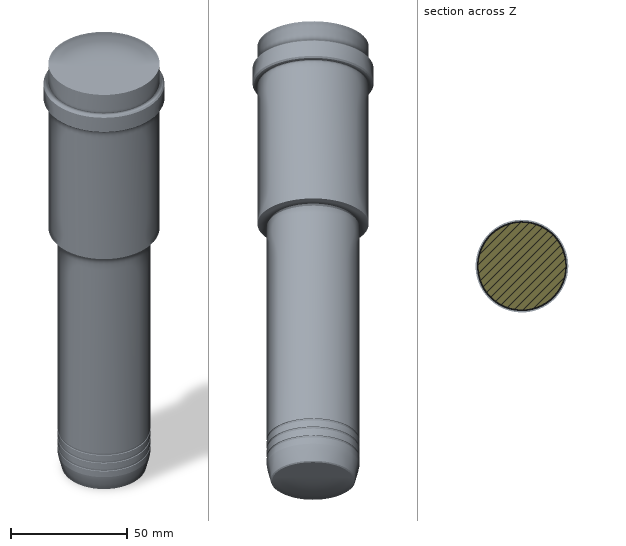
import cadquery as cq

total_height = 210.0
head_bottom = 124.3

head_radius = 24.0
collar_radius = 26.0
pin_radius = 20.0
tip_radius = 18.0

collar_top = 200.1
collar_bottom = 191.5
collar_chamfer = 0.6
collar_groove_width = 0.6
collar_groove_depth = 0.5

relief_width = 1.5
relief_depth = 0.8

ring_groove_centres = (11.3, 15.5, 19.5)
ring_groove_width = 1.0
ring_groove_depth = 0.5
tip_height = 7.8
tip_bulge = 0.15
tip_chamfer = 0.5


def cylinder(radius, bottom, top):
    return cq.Workplane("XY").workplane(offset=bottom).circle(radius).extrude(top - bottom)


def ring_cut(radius, depth, bottom, top):
    """Ring that cuts a groove of the given depth into a shaft."""
    return cylinder(radius + depth, bottom, top).cut(cylinder(radius - depth, bottom, top))


def make_pin():
    """Pin with a slightly convex taper at its tip."""
    middle_radius = (pin_radius + tip_radius) / 2 + tip_bulge
    profile = (
        cq.Workplane("XZ")
        .lineTo(tip_radius, 0)
        .threePointArc((middle_radius, tip_height / 2), (pin_radius, tip_height))
        .lineTo(pin_radius, head_bottom)
        .lineTo(0, head_bottom)
        .close()
    )
    pin = profile.revolve(360, (0, 0, 0), (0, 1, 0)).faces("<Z").edges().chamfer(tip_chamfer)
    for centre in ring_groove_centres:
        bottom = centre - ring_groove_width / 2
        pin = pin.cut(ring_cut(pin_radius, ring_groove_depth, bottom, bottom + ring_groove_width))
    return pin.cut(ring_cut(pin_radius, relief_depth, head_bottom - relief_width, head_bottom))


def make_head():
    """Head with its grooves on both sides of the chamfered collar."""
    head = cylinder(head_radius, head_bottom, total_height)
    for bottom in (collar_top, collar_bottom - collar_groove_width):
        top = bottom + collar_groove_width
        head = head.cut(ring_cut(head_radius, collar_groove_depth, bottom, top))
    collar = cylinder(collar_radius, collar_bottom, collar_top).edges().chamfer(collar_chamfer)
    return head.union(collar)


result = make_pin().union(make_head())